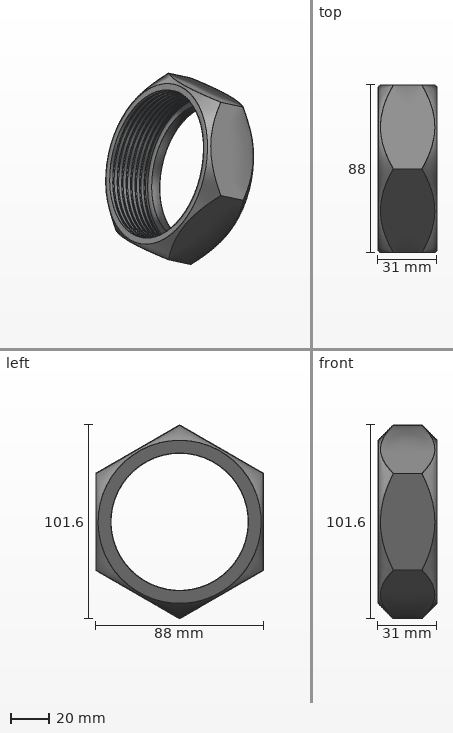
import cadquery as cq
import math

width = 31.0
across_flats = 88.0
across_corners = across_flats / math.cos(math.pi / 6)
face_diameter = 85.6

lip_diameter = 72.0
lip_length = 5.5

thread_bore_diameter = 78.8
thread_pitch = 3.0
groove_depth = 0.7
groove_angle = math.radians(60)
groove_half_width = groove_depth * math.tan(groove_angle / 2)


def hexagon_blank():
    blank = cq.Workplane("YZ").polygon(6, across_corners).extrude(width / 2, both=True)
    return blank.rotate((0, 0, 0), (1, 0, 0), 90)


def turned_about_x(profile):
    """Revolve a half profile of (x, radius) points around the bore axis."""
    return cq.Workplane("XZ").polyline(profile).close().revolve(360, (0, 0, 0), (1, 0, 0))


def chamfered_envelope():
    """Turned disc whose 45 degree chamfers trim the hexagon corners."""
    corner_radius = across_corners / 2
    face_radius = face_diameter / 2
    half_width = width / 2
    chamfer = corner_radius - face_radius
    profile = [
        (-half_width, 0),
        (-half_width, face_radius),
        (-half_width + chamfer, corner_radius),
        (half_width - chamfer, corner_radius),
        (half_width, face_radius),
        (half_width, 0),
    ]
    return turned_about_x(profile)


def stepped_threaded_bore():
    """Lip bore opening into a wider bore with one ring-shaped V groove per thread turn."""
    lip_radius = lip_diameter / 2
    bore_radius = thread_bore_diameter / 2
    lip_end = -width / 2 + lip_length
    groove_count = int((width - lip_length) / thread_pitch)
    profile = [
        (-width / 2, 0),
        (-width / 2, lip_radius),
        (lip_end, lip_radius),
        (lip_end, bore_radius),
    ]
    first_groove = width / 2 - groove_count * thread_pitch
    for turn in range(groove_count):
        groove_start = first_groove + turn * thread_pitch
        profile.append((groove_start, bore_radius))
        profile.append((groove_start + groove_half_width, bore_radius + groove_depth))
        profile.append((groove_start + 2 * groove_half_width, bore_radius))
    profile += [(width / 2, bore_radius), (width / 2, 0)]
    return turned_about_x(profile)


result = hexagon_blank().intersect(chamfered_envelope()).cut(stepped_threaded_bore())